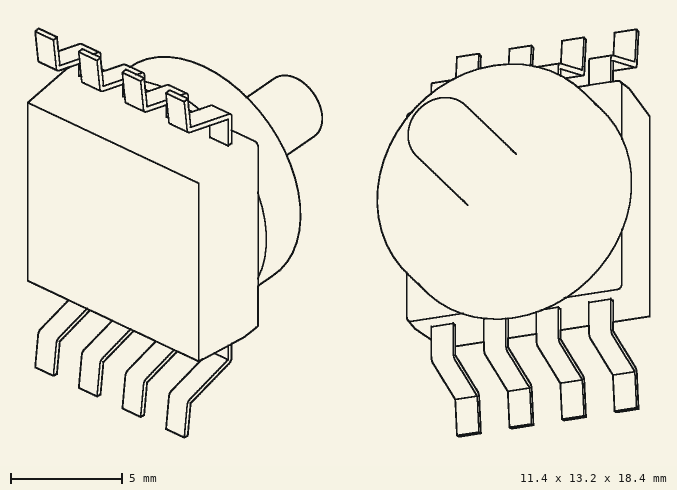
import cadquery as cq
import math


body_width = 10.51
body_height = 10.27
front_depth = 2.97
back_depth = 0.95
front_draft = 5.0
back_draft = 3.0
front_corner_radius = 0.01
corner_radius = front_corner_radius + front_depth * math.tan(math.radians(front_draft))

flange_diameter = 11.38
flange_thickness = 2.55
flange_back = back_depth + flange_thickness

port_diameter = 3.17
port_length = 6.5
edge_radius = 0.2

lead_count = 4
lead_pitch = 2.55
lead_width = 1.07
lead_thickness = 0.25
lead_span = 18.44
shoulder_z = 6.68
arm_angle = 15.0
arm_reach = 2.88
foot_angle = 7.0


def drafted_block(depth, draft, direction):
    """Rounded block that starts at the parting plane and narrows along Y."""
    plane = cq.Plane(origin=(0, 0, 0), xDir=(1, 0, 0), normal=(0, direction, 0))
    outline = cq.Sketch().rect(body_width, body_height).vertices().fillet(corner_radius)
    return cq.Workplane(plane).placeSketch(outline).extrude(depth, taper=draft)


def make_flange_and_port():
    """Solid of revolution about Y with rounded edges."""
    flange_radius = flange_diameter / 2
    port_radius = port_diameter / 2
    port_tip = flange_back + port_length
    profile = [
        (back_depth, 0),
        (back_depth, flange_radius),
        (flange_back, flange_radius),
        (flange_back, port_radius),
        (port_tip, port_radius),
        (port_tip, 0),
    ]
    turned = cq.Workplane("YZ").polyline(profile).close().revolve(360, (0, 0), (1, 0))
    rounded_edges = cq.selectors.BoxSelector(
        (-flange_diameter, flange_back - edge_radius, -flange_diameter),
        (flange_diameter, port_tip + edge_radius, flange_diameter),
        boundingbox=True,
    )
    return turned.edges("%CIRCLE").edges(rounded_edges).fillet(edge_radius)


def make_housing():
    """Body, flange and port as one solid, before the lead slots are cut."""
    front = drafted_block(front_depth, front_draft, -1)
    back = drafted_block(back_depth, back_draft, 1)
    return front.union(back).union(make_flange_and_port())


def offset_path(path, distance):
    """Points of a (y, z) path moved sideways by a distance, with mitred bends."""
    normals = []
    for (y0, z0), (y1, z1) in zip(path, path[1:]):
        length = math.hypot(y1 - y0, z1 - z0)
        normals.append(((z1 - z0) / length, (y0 - y1) / length))
    before = [normals[0]] + normals
    after = normals + [normals[-1]]
    moved = []
    for (y, z), (ay, az), (by, bz) in zip(path, before, after):
        reach = distance / (1 + ay * by + az * bz)
        moved.append((y + reach * (ay + by), z + reach * (az + bz)))
    return moved


def make_lead():
    """Bent strip centred on X = 0, with the outer side of each bend rounded."""
    foot_bend_z = shoulder_z + arm_reach * math.tan(math.radians(arm_angle))
    tip_z = lead_span / 2 - lead_thickness / 2 * math.sin(math.radians(foot_angle))
    tip_y = -arm_reach - (tip_z - foot_bend_z) * math.tan(math.radians(foot_angle))
    upper_half = [(0, shoulder_z), (-arm_reach, foot_bend_z), (tip_y, tip_z)]
    lower_half = [(y, -z) for y, z in reversed(upper_half)]
    centreline = lower_half + upper_half

    back_side = offset_path(centreline, lead_thickness / 2)
    front_side = offset_path(centreline, -lead_thickness / 2)
    strip = (
        cq.Workplane("YZ")
        .polyline(back_side + front_side[::-1])
        .close()
        .extrude(lead_width / 2, both=True)
    )

    outer_bends = [front_side[1], back_side[2], back_side[3], front_side[4]]
    for y, z in outer_bends:
        bend_edge = cq.selectors.NearestToPointSelector((0, y, z))
        strip = strip.edges("|X").edges(bend_edge).fillet(lead_thickness)
    return strip


housing = make_housing()
leads = []
for index in range(lead_count):
    lead_x = (index - (lead_count - 1) / 2) * lead_pitch
    lead = make_lead().translate((lead_x, 0, 0))
    housing = housing.cut(lead)
    leads.append(lead.solids().val())

result = cq.Compound.makeCompound([housing.solids().val(), *leads])